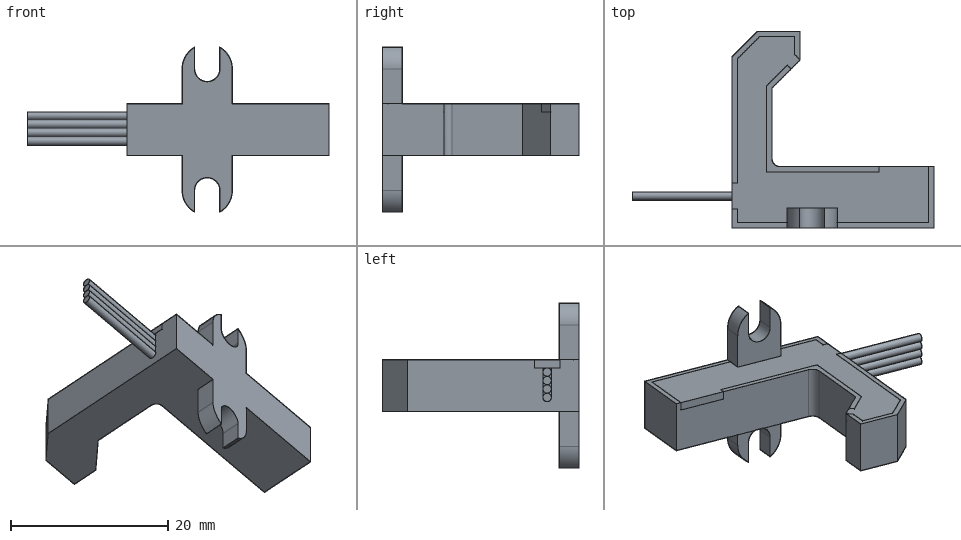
import cadquery as cq

body_length = 25.7
body_width = 25.0
body_height = 6.6
base_width = 7.82
arm_width = 5.1
head_length = 8.65
head_chamfer = 3.22
beak_drop = 3.65
inner_corner_radius = 1.0
wall = 0.7

ear_center_x = 10.2
ear_width = 6.4
ear_thickness = 2.55
ear_slot_width = 3.2
ear_slot_center_z = 7.7

lid_thickness = 1.05
cable_tab_width = 3.25
beak_tab_run = 1.15
base_tab_start_x = 18.68

wire_count = 4
wire_diameter = 1.07
wire_free_length = 12.65
wire_center_y = 4.05

top_z = body_height / 2
lid_bottom_z = top_z - lid_thickness
beak_tip_y = body_width - beak_drop
beak_root_y = beak_tip_y - (head_length - arm_width)
wire_radius = wire_diameter / 2
wire_levels = [lid_bottom_z - wire_radius - i * wire_diameter for i in range(wire_count)]


def body_outline(base_z):
    """Sharp-cornered outline of the housing in the plane Z = base_z."""
    return (
        cq.Workplane("XY")
        .workplane(offset=base_z)
        .polyline([
            (0, 0),
            (body_length, 0),
            (body_length, base_width),
            (arm_width, base_width),
            (arm_width, beak_root_y),
            (head_length, beak_tip_y),
            (head_length, body_width),
            (head_chamfer, body_width),
            (0, body_width - head_chamfer),
        ])
        .close()
    )


def lid_tab(points):
    """Part of the lid that reaches through the rim to the outside."""
    return cq.Workplane("XY").workplane(offset=lid_bottom_z).polyline(points).close().extrude(lid_thickness)


def make_lid():
    """Flat lid inset by the wall, with tabs at the cable exit, the beak face and the base."""
    cable_tab_low = wire_center_y - cable_tab_width / 2
    cable_tab_high = wire_center_y + cable_tab_width / 2
    cable_tab = lid_tab([
        (0, cable_tab_low),
        (wall, cable_tab_low),
        (wall, cable_tab_high),
        (0, cable_tab_high),
    ])
    beak_tab = lid_tab([
        (head_length, beak_tip_y),
        (head_length - wall, beak_tip_y + wall),
        (head_length - wall - beak_tab_run, beak_tip_y + wall - beak_tab_run),
        (head_length - beak_tab_run, beak_tip_y - beak_tab_run),
    ])
    base_tab = lid_tab([
        (base_tab_start_x, base_width - wall),
        (body_length - wall, base_width - wall),
        (body_length - wall, base_width),
        (base_tab_start_x, base_width),
    ])
    plate = body_outline(lid_bottom_z).offset2D(-wall, "intersection").extrude(lid_thickness)
    return plate.union(cable_tab).union(beak_tab).union(base_tab)


def make_ear(side):
    """Round-ended ear with an open slot, beyond the top (side = 1) or bottom (side = -1) face."""
    root_z = side * top_z
    center_z = side * ear_slot_center_z
    end_z = center_z + side * ear_width / 2
    left_x = ear_center_x - ear_width / 2
    right_x = ear_center_x + ear_width / 2
    slot_left_x = ear_center_x - ear_slot_width / 2
    slot_right_x = ear_center_x + ear_slot_width / 2
    slot_floor_z = center_z - side * ear_slot_width / 2
    ear = (
        cq.Workplane("XZ")
        .moveTo(left_x, root_z)
        .lineTo(left_x, center_z)
        .threePointArc((ear_center_x, end_z), (right_x, center_z))
        .lineTo(right_x, root_z)
        .close()
        .extrude(-ear_thickness)
    )
    slot = (
        cq.Workplane("XZ")
        .moveTo(slot_left_x, end_z)
        .lineTo(slot_left_x, center_z)
        .threePointArc((ear_center_x, slot_floor_z), (slot_right_x, center_z))
        .lineTo(slot_right_x, end_z)
        .close()
        .extrude(-ear_thickness)
    )
    return ear.cut(slot)


def make_wire_slot():
    """Round-bottomed slot through the left wall that holds the row of wires."""
    low_y = wire_center_y - wire_radius
    high_y = wire_center_y + wire_radius
    lowest_z = wire_levels[-1]
    return (
        cq.Workplane("YZ")
        .moveTo(low_y, lid_bottom_z)
        .lineTo(low_y, lowest_z)
        .threePointArc((wire_center_y, lowest_z - wire_radius), (high_y, lowest_z))
        .lineTo(high_y, lid_bottom_z)
        .close()
        .extrude(wall)
    )


def make_housing(lid):
    """Housing with its ears, the lid recess and the wire slot."""
    inner_corner = cq.selectors.NearestToPointSelector((arm_width, base_width, 0))
    block = body_outline(-top_z).extrude(body_height).edges("|Z").edges(inner_corner).fillet(inner_corner_radius)
    recessed = block.cut(lid).cut(make_wire_slot())
    return recessed.union(make_ear(1)).union(make_ear(-1))


def make_wire(level):
    """Straight wire from its free end to the inner end of the wire slot."""
    return (
        cq.Workplane("YZ")
        .workplane(offset=-wire_free_length)
        .center(wire_center_y, level)
        .circle(wire_radius)
        .extrude(wire_free_length + wall)
    )


lid = make_lid()
housing = make_housing(lid)
wires = [make_wire(level) for level in wire_levels]

result = cq.Compound.makeCompound([housing.solids().val(), lid.solids().val(), *[wire.val() for wire in wires]])